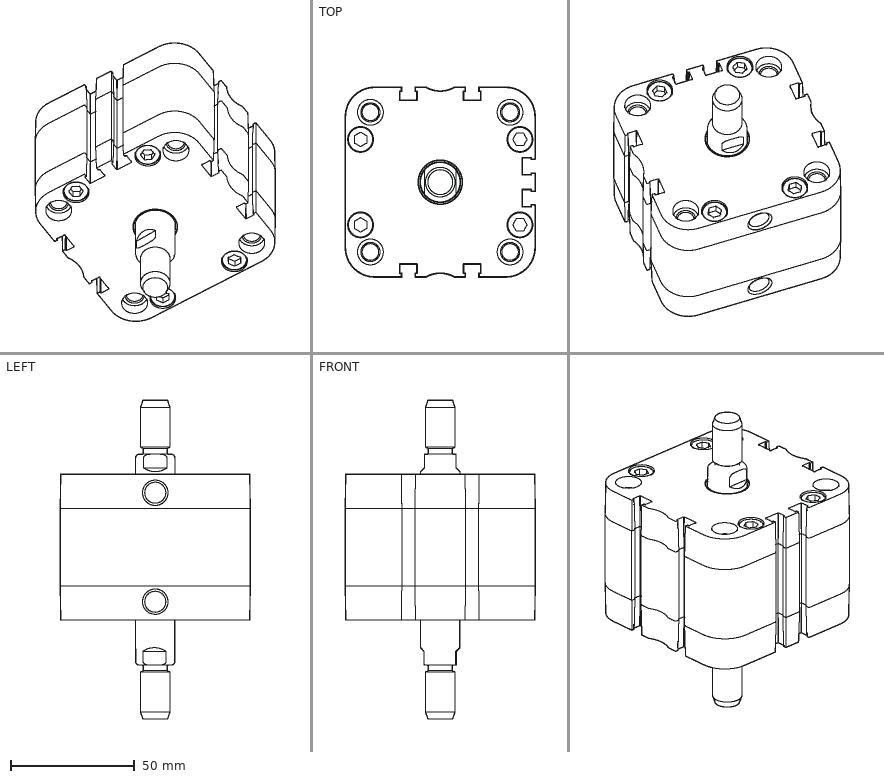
import cadquery as cq
import math


SIGNS = [(1, 1), (-1, 1), (-1, -1), (1, -1)]

width = 77.0
half_width = width / 2
corner_radius = 12.0

barrel_height = 31.5
cap_height = 13.8
half_barrel = barrel_height / 2
cap_face = half_barrel + cap_height
cap_draft = 1.0
overall_length = 129.0
stroke = 10.0
body_height = barrel_height + 2 * cap_height
upper_protrusion = (overall_length - body_height - stroke) / 2
lower_protrusion = upper_protrusion + stroke

slot_neck = 5.3
slot_width = 6.7
slot_depth = 5.3
lip_height = 1.8
lip_round = 0.4
outer_slot_offset = 12.9
side_slot_offset = 6.5
groove_half_width = 5.9
groove_depth = 1.5
groove_shoulder_radius = 0.6

mount_offset = 28.3
mount_counterbore = 10.5
mount_counterbore_depth = 5.0
mount_hole = 6.7
mount_chamfer = 0.5
screw_x = 32.2
screw_y = 17.3
screw_recess = 10.5
screw_head = 9.8
screw_head_drop = 0.6
screw_groove_depth = 1.3
hex_across_flats = 5.0
hex_depth = 3.2
hex_turn_left = 30
hex_turn_right = 0
port_diameter = 8.5
port_mouth = 10.3
port_depth = 10.3
port_side_inset = 0.1
port_inset = 7.5

rod_diameter = 16.0
rod_clearance_bore = 16.5
rod_recess = 17.7
rod_recess_depth = 0.4
rod_recess_mouth = 18.0
rod_shoulder_round = 1.5
neck_diameter = 9.8
neck_round = 0.4
thread_diameter = 12.0
thread_end_chamfer = 0.6
thread_tip_diameter = 10.0
thread_tip_length = 2.8
thread_length = 19.0
shoulder_from_tip = 21.8
flat_distance = 6.5
flat_length = 5.5
lower_flat_turn = -2.5


def slot_cutter(rounded_lip):
    """T-slot open at y = 0, reaching towards -y; rounded_lip (-1 or 1) is the x side of the rounded lip."""
    neck = rounded_lip * slot_neck / 2
    wide = rounded_lip * slot_width / 2
    soft = rounded_lip * lip_round
    corner_share = 1 - math.sqrt(0.5)
    corners = [
        (neck + soft, 0),
        (-neck, 0),
        (-neck, -lip_height),
        (-wide, -lip_height),
        (-wide, -slot_depth),
        (wide, -slot_depth),
        (wide, -lip_height),
        (neck, -lip_height),
        (neck, -lip_round),
    ]
    sketch = cq.Sketch()
    for start, end in zip(corners, corners[1:]):
        sketch.segment(start, end)
    lip_middle = (neck + soft * corner_share, -lip_round * corner_share)
    return sketch.arc(corners[-1], lip_middle, corners[0]).assemble()


def finger_groove_cutter():
    """Shallow groove whose flanks roll over into the side y = 0 without a corner."""
    flank_angle = 2 * math.atan(groove_depth / groove_half_width)
    floor_radius = groove_half_width / math.sin(flank_angle) - groove_shoulder_radius
    half_angle = flank_angle / 2
    shoulder_drop = groove_shoulder_radius * (1 - math.cos(flank_angle))
    left = (-groove_half_width, 0)
    left_mid = (
        -groove_half_width + groove_shoulder_radius * math.sin(half_angle),
        -groove_shoulder_radius * (1 - math.cos(half_angle)),
    )
    left_turn = (-floor_radius * math.sin(flank_angle), -shoulder_drop)
    bottom = (0, -groove_depth)

    def mirrored(point):
        return (-point[0], point[1])

    return (
        cq.Sketch()
        .arc(left, left_mid, left_turn)
        .arc(left_turn, bottom, mirrored(left_turn))
        .arc(mirrored(left_turn), mirrored(left_mid), mirrored(left))
        .segment(mirrored(left), left)
        .assemble()
    )


def body_outline():
    """Cross-section shared by the barrel and the caps; the -X side stays plain for the ports."""
    outline = cq.Sketch().rect(width, width).vertices().fillet(corner_radius).reset()

    def cut_side(cutter, offset, turn):
        around = cq.Location(cq.Vector(0, 0, 0), cq.Vector(0, 0, 1), turn)
        place = around * cq.Location(cq.Vector(offset, half_width, 0))
        outline.push([place]).face(cutter, mode="s").reset()

    for turn in (0, 180):
        cut_side(finger_groove_cutter(), 0, turn)
        for side in (-1, 1):
            cut_side(slot_cutter(-side), side * outer_slot_offset, turn)
    for side in (-1, 1):
        cut_side(slot_cutter(side), side * side_slot_offset, -90)
    return outline.clean()


def make_barrel():
    """Straight prism with the bore that carries both rods."""
    base = cq.Workplane("XY", origin=(0, 0, -half_barrel))
    prism = base.placeSketch(body_outline()).extrude(barrel_height)
    rod_bore = base.circle(rod_diameter / 2).extrude(barrel_height)
    return prism.cut(rod_bore)


def drill(diameter, depth, points):
    """Cylinders reaching down from the free face of the upper cap."""
    return cq.Workplane("XY", origin=(0, 0, cap_face)).pushPoints(points).circle(diameter / 2).extrude(-depth)


def mounting_holes():
    """Counterbored holes through the cap with a chamfer at the step."""
    points = [(sx * mount_offset, sy * mount_offset) for sx, sy in SIGNS]
    profile = [
        (0, 0),
        (mount_counterbore / 2, 0),
        (mount_counterbore / 2, -mount_counterbore_depth),
        (mount_hole / 2 + mount_chamfer, -mount_counterbore_depth),
        (mount_hole / 2, -mount_counterbore_depth - mount_chamfer),
        (mount_hole / 2, -cap_height),
        (0, -cap_height),
    ]
    hole = cq.Workplane("XZ").polyline(profile).close().revolve(360, (0, 0, 0), (0, 1, 0)).val()
    return cq.Workplane("XY", origin=(0, 0, cap_face)).pushPoints(points).eachpoint(
        lambda location: hole.moved(location)
    )


def screw_recesses():
    """Recess above each screw head, the ring gap beside it and its hexagon socket."""
    points = [(sx * screw_x, sy * screw_y) for sx, sy in SIGNS]
    recess = drill(screw_recess, screw_groove_depth, points)
    heads = drill(screw_head, screw_groove_depth, points).translate((0, 0, -screw_head_drop))
    recess = recess.cut(heads)
    hex_corner_diameter = hex_across_flats / math.cos(math.pi / 6)
    for x, y in points:
        turn = hex_turn_left if x < 0 else hex_turn_right
        socket = (
            cq.Workplane("XY")
            .polygon(6, hex_corner_diameter)
            .extrude(-screw_head_drop - hex_depth)
            .rotate((0, 0, 0), (0, 0, 1), turn)
            .translate((x, y, cap_face))
        )
        recess = recess.union(socket)
    return recess


def port():
    """Blind port from the -X side with a chamfered mouth."""
    mouth_chamfer = (port_mouth - port_diameter) / 2
    profile = [
        (-half_width, 0),
        (-half_width, port_mouth / 2),
        (-half_width + port_side_inset, port_mouth / 2),
        (-half_width + port_side_inset + mouth_chamfer, port_diameter / 2),
        (-half_width + port_depth, port_diameter / 2),
        (-half_width + port_depth, 0),
    ]
    return (
        cq.Workplane("XY")
        .polyline(profile)
        .close()
        .revolve(360, (0, 0, 0), (1, 0, 0))
        .translate((0, 0, cap_face - port_inset))
    )


def rod_opening():
    """Clearance bore with a shallow recess whose rim is chamfered."""
    rim_chamfer = (rod_recess_mouth - rod_recess) / 2
    bore = drill(rod_clearance_bore, cap_height, [(0, 0)])
    recess = drill(rod_recess, rod_recess_depth, [(0, 0)])
    rim = (
        cq.Workplane("XY", origin=(0, 0, cap_face))
        .circle(rod_recess_mouth / 2)
        .extrude(-rim_chamfer, taper=45)
    )
    return bore.union(recess).union(rim)


def make_upper_cap():
    """Drafted prism on top of the barrel with all its openings."""
    cap = (
        cq.Workplane("XY", origin=(0, 0, half_barrel))
        .placeSketch(body_outline())
        .extrude(cap_height, taper=cap_draft)
    )
    for cutter in (mounting_holes(), screw_recesses(), port(), rod_opening()):
        cap = cap.cut(cutter)
    return cap


def make_rod(tip_z):
    """Rod with a necked thread at its tip and two wrench flats below its shoulder."""
    radius = rod_diameter / 2
    shoulder_z = tip_z - shoulder_from_tip
    thread_start_z = tip_z - thread_length
    rod = (
        cq.Workplane("XZ")
        .moveTo(0, 0)
        .lineTo(radius, 0)
        .lineTo(radius, shoulder_z - rod_shoulder_round)
        .radiusArc((radius - rod_shoulder_round, shoulder_z), -rod_shoulder_round)
        .lineTo(neck_diameter / 2 + neck_round, shoulder_z)
        .radiusArc((neck_diameter / 2, shoulder_z + neck_round), neck_round)
        .lineTo(neck_diameter / 2, thread_start_z - thread_end_chamfer)
        .lineTo(thread_diameter / 2, thread_start_z)
        .lineTo(thread_diameter / 2, tip_z - thread_tip_length)
        .lineTo(thread_tip_diameter / 2, tip_z)
        .lineTo(0, tip_z)
        .close()
        .revolve(360, (0, 0, 0), (0, 1, 0))
    )
    return rod.cut(wrench_flats(shoulder_z))


def wrench_flats(shoulder_z):
    """Cutters leaving flats at x = +-flat_distance, each ending in a 45 degree run-out."""
    run_out = rod_diameter / 2 - flat_distance
    flat_end_z = shoulder_z - flat_length
    section = [
        (flat_distance, shoulder_z),
        (flat_distance, flat_end_z),
        (flat_distance + run_out, flat_end_z - run_out),
        (flat_distance + run_out, shoulder_z),
    ]
    flat = cq.Workplane("XZ").polyline(section).close().extrude(rod_diameter / 2, both=True)
    return flat.union(flat.mirror("YZ"))


def mirrored_down(body):
    """Lower counterpart of an upper body."""
    return body.mirror("XY")


barrel = make_barrel()
upper_cap = make_upper_cap()
lower_cap = mirrored_down(upper_cap)
upper_rod = make_rod(cap_face + upper_protrusion)
lower_rod = mirrored_down(make_rod(cap_face + lower_protrusion))
lower_rod = lower_rod.rotate((0, 0, 0), (0, 0, 1), lower_flat_turn)

bodies = [barrel, upper_cap, lower_cap, upper_rod, lower_rod]
result = cq.Compound.makeCompound([body.solids().val() for body in bodies])